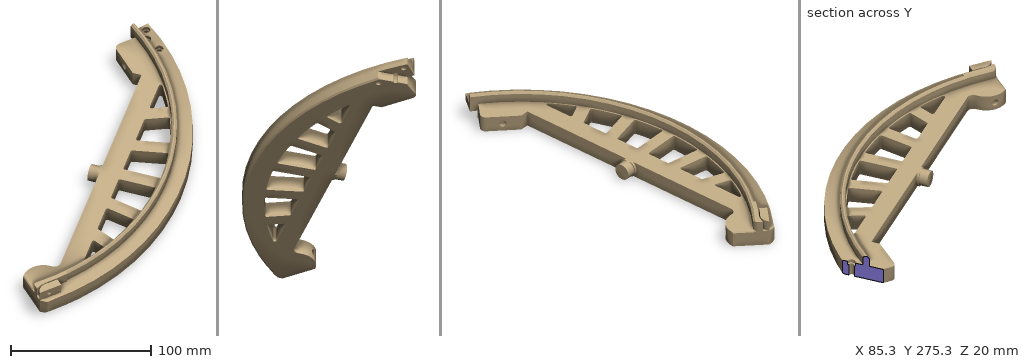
import cadquery as cq
import math


plate_height = 12.0
rail_height = 8.0
total_height = plate_height + rail_height

rim_radius = 180.0
rail_outer_radius = 168.7
rail_inner_radius = 165.2
window_radius = 164.0

rail_chamfer = 1.5
rim_chamfer = 1.0
end_chamfer = 0.8

spine_left = 120.3
spine_right = 135.2

tip_angle = 52.5
tip_underside = 6.3
tip_step_y = 127.7
upper_pad_corner = (93.0, 115.0)
upper_pad_round = 4.0
upper_pad_bottom_y = 94.5

end_offset = 15.5
end_flat_y = -132.5
end_flat_right = 122.8
rim_flat_angle = -45.5
lower_pad_center_y = -114.0
lower_pad_radius = 15.1
lower_pad_blend = 4.7

spoke_width = 10.0
spoke_pitch = 12.0
spoke_count = 5
window_round = 1.5

peg_diameter = 12.0
peg_left = 112.0
collar_diameter = 13.8
collar_length = 1.7

mount_hole_diameter = 5.2
mount_hole_depth = 10.0
mount_hole_y = 103.8
tip_hole_places = [(110.5, 136.5), (113.7, 128.3), (124.7, 122.2)]
tip_hole_diameter = 3.5
tip_bore_diameter = 5.8
tip_bore_depth = 2.8

lip_radius = 169.5
lip_root_radius = rail_outer_radius - rail_chamfer
lip_start_angle = -40.0
lip_bend_angle = -45.4
lip_bend_middle = (115.5, -125.0)
lip_end_x = 113.7
rail_end_round = 3.5
block_inner_radius = 170.7
block_bend_middle = (116.0, -128.0)
block_length = 17.0
clamp_screw_diameter = 3.0
clamp_screw_depth = 8.8
clamp_screw_offset = 7.7

diagonal = math.sqrt(0.5)


def polar(radius, angle):
    """Point on a circle about the origin, angle in degrees from +X."""
    return (radius * math.cos(math.radians(angle)), radius * math.sin(math.radians(angle)))


def circle_meets_diagonal(radius, offset):
    """Point with positive x where a circle about the origin meets the line y = x + offset."""
    x = (math.sqrt(2 * radius**2 - offset**2) - offset) / 2
    return (x, x + offset)


def end_cut_point(radius):
    """Point at the given radius on the 45 degree cut of the lower end."""
    x, mirrored_y = circle_meets_diagonal(radius, end_offset)
    return (x, -mirrored_y)


def ring(inner_radius, outer_radius, bottom, top):
    """Full ring about the Z axis."""
    base = cq.Workplane("XY", origin=(0, 0, bottom))
    return base.circle(outer_radius).circle(inner_radius).extrude(top - bottom)


def nearest(x, y, z):
    return cq.selectors.NearestToPointSelector((x, y, z))


end_corner = (-end_flat_y - end_offset, end_flat_y)
lower_pad_left = -lower_pad_center_y - end_offset
lower_pad_center_x = lower_pad_left + lower_pad_radius
lower_pad_top = lower_pad_center_y + lower_pad_radius
lower_pad_middle = (
    lower_pad_center_x - lower_pad_radius * diagonal,
    lower_pad_center_y + lower_pad_radius * diagonal,
)


def make_outline_body(height):
    """Prism on the silhouette of the whole arch, with sharp pad corners."""
    corner_x, corner_y = upper_pad_corner
    pad_foot_x = corner_x + corner_y - upper_pad_bottom_y
    pad_meets_rail = circle_meets_diagonal(rail_inner_radius, corner_y - corner_x)
    pad_angle = math.degrees(math.atan2(pad_meets_rail[1], pad_meets_rail[0]))
    return (
        cq.Workplane("XY")
        .moveTo(*polar(rim_radius, tip_angle))
        .lineTo(*polar(rail_inner_radius, tip_angle))
        .threePointArc(polar(rail_inner_radius, (tip_angle + pad_angle) / 2), pad_meets_rail)
        .lineTo(corner_x, corner_y)
        .lineTo(pad_foot_x, upper_pad_bottom_y)
        .lineTo(spine_left, upper_pad_bottom_y)
        .lineTo(spine_left, lower_pad_top)
        .lineTo(lower_pad_center_x, lower_pad_top)
        .threePointArc(lower_pad_middle, (lower_pad_left, lower_pad_center_y))
        .lineTo(*end_corner)
        .lineTo(end_flat_right, end_flat_y)
        .lineTo(*polar(rim_radius, rim_flat_angle))
        .threePointArc((rim_radius, 0), polar(rim_radius, tip_angle))
        .close()
        .extrude(height)
    )


def make_plate():
    """Flat arch with rounded pads; the lower end is bevelled on top, inside the rail only."""
    mid_height = plate_height / 2
    plate = make_outline_body(plate_height)
    plate = plate.edges(nearest(*upper_pad_corner, mid_height)).fillet(upper_pad_round)
    plate = plate.edges(nearest(spine_left, lower_pad_top, mid_height)).fillet(lower_pad_blend)
    cut_middle = ((lower_pad_left + end_corner[0]) / 2, (lower_pad_center_y + end_flat_y) / 2)
    plate = plate.edges(nearest(*cut_middle, plate_height)).chamfer(end_chamfer)
    square_rim = ring(rail_inner_radius, 2 * rim_radius, plate_height - end_chamfer, plate_height)
    return plate.union(square_rim.intersect(make_outline_body(plate_height)))


def make_windows():
    """Openings between the spine and the rail, separated by radial spokes."""
    bar = cq.Workplane("XY")
    right_side = bar.box(rim_radius, 2 * rim_radius, plate_height, centered=(False, True, False))
    windows = bar.circle(window_radius).extrude(plate_height)
    windows = windows.intersect(right_side.translate((spine_right, 0, 0)))
    spoke = bar.box(rim_radius, spoke_width, plate_height, centered=(False, True, False))
    for index in range(spoke_count):
        angle = (index - (spoke_count - 1) / 2) * spoke_pitch
        windows = windows.cut(spoke.rotate((0, 0, 0), (0, 0, 1), angle))
    return windows.edges("|Z").fillet(window_round)


def make_rim_chamfer():
    """Ring of triangular section that breaks the lower outside edge of the rim."""
    overshoot = rim_chamfer
    return (
        cq.Workplane("XZ")
        .moveTo(rim_radius - rim_chamfer, 0)
        .lineTo(rim_radius + overshoot, 0)
        .lineTo(rim_radius + overshoot, rim_chamfer + overshoot)
        .close()
        .revolve(360, (0, 0, 0), (0, 1, 0))
    )


def make_tip_step():
    """Material removed from below to thin the tip."""
    step = cq.Workplane("XY").box(rim_radius, rim_radius, tip_underside, centered=False)
    return step.translate((0, tip_step_y, 0))


def make_lip():
    """Thickening on the outside of the rail that bends outward at the lower end."""
    bend_start = polar(lip_radius, lip_bend_angle)
    lip_middle = polar(lip_radius, (lip_start_angle + lip_bend_angle) / 2)
    return (
        cq.Workplane("XY", origin=(0, 0, plate_height))
        .moveTo(*polar(lip_root_radius, lip_start_angle))
        .lineTo(*polar(lip_radius, lip_start_angle))
        .threePointArc(lip_middle, bend_start)
        .threePointArc(lip_bend_middle, (lip_end_x, -lip_end_x - end_offset))
        .lineTo(*end_cut_point(lip_root_radius))
        .threePointArc(
            polar(lip_root_radius, lip_bend_angle), polar(lip_root_radius, lip_start_angle)
        )
        .close()
        .extrude(rail_height)
    )


def make_rail():
    """Raised wall, bevelled on both top edges, rounded at its lower inside corner."""
    rail = ring(rail_inner_radius, rail_outer_radius, plate_height, total_height)
    rail = rail.faces(">Z").edges().chamfer(rail_chamfer)
    rail = rail.intersect(make_outline_body(total_height)).union(make_lip())
    inner_corner = end_cut_point(rail_inner_radius)
    corner_edge = nearest(*inner_corner, plate_height + rail_height / 2)
    return rail.edges("|Z").edges(corner_edge).fillet(rail_end_round)


def make_clamp_block():
    """Block that faces the rail across a narrow slit, with a cross hole for a screw."""
    x, y = end_corner
    back_x = x + block_length * diagonal
    back_y = y + block_length * diagonal
    inner_x, mirrored_y = circle_meets_diagonal(block_inner_radius, -back_x - back_y)
    block = (
        cq.Workplane("XY", origin=(0, 0, plate_height))
        .moveTo(x, y)
        .lineTo(back_x, back_y)
        .lineTo(inner_x, -mirrored_y)
        .lineTo(*polar(block_inner_radius, lip_bend_angle))
        .threePointArc(block_bend_middle, (x, y))
        .close()
        .extrude(rail_height)
    )
    shift = clamp_screw_offset * diagonal
    screw_place = (x + shift, y + shift, plate_height + rail_height / 2)
    screw_plane = cq.Plane(origin=screw_place, xDir=(0, 0, 1), normal=(-1, 1, 0))
    screw = cq.Workplane(screw_plane).circle(clamp_screw_diameter / 2).extrude(clamp_screw_depth)
    return block.cut(screw)


def make_peg():
    """Round peg with a collar that is trimmed flush with the plate faces."""
    mid_height = plate_height / 2
    peg = cq.Workplane("YZ", origin=(peg_left, 0, mid_height)).circle(peg_diameter / 2)
    collar = cq.Workplane("YZ", origin=(spine_left - collar_length, 0, mid_height))
    collar = collar.circle(collar_diameter / 2).extrude(2 * collar_length)
    slab = cq.Workplane("XY").box(
        rim_radius, rim_radius, plate_height, centered=(False, True, False)
    )
    return peg.extrude(spine_right - peg_left).union(collar.intersect(slab))


def make_mount_hole(x, y):
    """Blind hole at mid height, running at 45 degrees into an end pad."""
    plane = cq.Plane(
        origin=(x, y, plate_height / 2), xDir=(0, 0, 1), normal=(1, math.copysign(1, y), 0)
    )
    drill = cq.Workplane(plane).circle(mount_hole_diameter / 2)
    return drill.extrude(mount_hole_depth, both=True)


def make_tip_holes():
    """Counterbored through holes near the tip."""
    shafts = cq.Workplane("XY").pushPoints(tip_hole_places)
    bores = cq.Workplane("XY", origin=(0, 0, plate_height - tip_bore_depth))
    bores = bores.pushPoints(tip_hole_places).circle(tip_bore_diameter / 2).extrude(tip_bore_depth)
    return shafts.circle(tip_hole_diameter / 2).extrude(plate_height).union(bores)


upper_hole_x = sum(upper_pad_corner) - mount_hole_y
lower_hole_x = lower_pad_middle[0]

result = make_plate().cut(make_windows()).cut(make_rim_chamfer()).cut(make_tip_step())
result = result.union(make_rail()).union(make_clamp_block()).union(make_peg())
result = result.cut(make_mount_hole(upper_hole_x, mount_hole_y))
result = result.cut(make_mount_hole(lower_hole_x, -mount_hole_y))
result = result.cut(make_tip_holes())